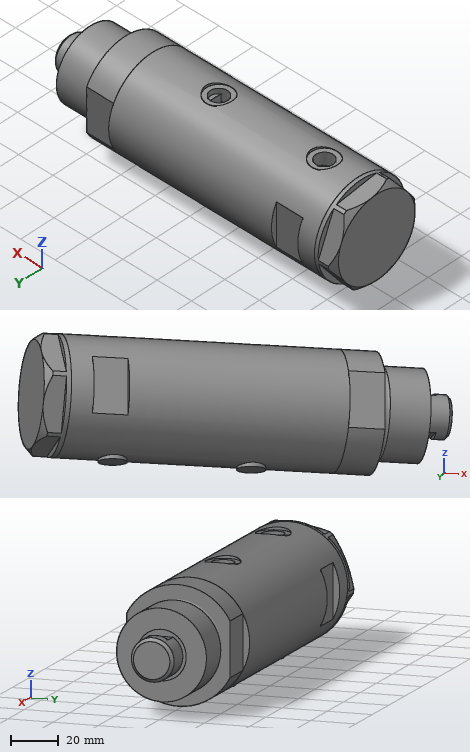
import cadquery as cq
import math


hex_length = 8.85
cap_flange_end = 11.0
gland_spigot_start = 94.5
housing_end = 130.75
shoulder_end = 146.45
neck_end = 149.5
nose_end = 167.0
rod_end = 179.02

outer_diameter = 52.0
bore_diameter = 36.0
counterbore_diameter = 44.0
rod_diameter = 22.0
outer_radius = outer_diameter / 2

y_axis = cq.Vector(0, 1, 0)
z_axis = cq.Vector(0, 0, 1)

flat_distance = 46.0
hex_rotation = -7.5
hex_corner_diameter = flat_distance / math.cos(math.pi / 6)
hex_chamfer = (outer_diameter - flat_distance) / 2
cap_spigot_end = 34.6

flat_start = 20.7
flat_length = 15.3
port_centers = (30.4, 91.75)
port_diameter = 9.8
spotface_diameter = 15.0
spotface_depth = 1.25
boss_centers = (34.95, 94.6)
boss_diameter = 12.25
boss_height = 1.1

nose_diameter = 40.0
neck_diameter = 38.0
neck_fillet = 0.8

tip_diameter = 19.0
tip_flat_distance = 16.0
tip_flat_length = 5.8
tip_chamfer = 1.4


def axial_cylinder(start, end, diameter):
    """Solid cylinder on the X axis between two positions."""
    return cq.Workplane("YZ").workplane(offset=start).circle(diameter / 2).extrude(end - start)


def cut_flats(body, start, length, distance, direction):
    """Cut a pair of parallel flats, a given distance apart, facing along +/- direction."""
    for side in (1, -1):
        offset = side * (distance + outer_diameter) / 2
        block = cq.Workplane("XY").box(length, outer_diameter, outer_diameter)
        body = body.cut(block.translate(direction * offset + cq.Vector(start + length / 2, 0, 0)))
    return body


def make_cap():
    """Chamfered hexagon head, round flange and a spigot filling the bore."""
    hexagon = cq.Workplane("YZ").polygon(6, hex_corner_diameter).extrude(hex_length)
    blank = axial_cylinder(0, hex_length, outer_diameter).faces("<X").chamfer(hex_chamfer)
    flange = axial_cylinder(hex_length, cap_flange_end, outer_diameter)
    spigot = axial_cylinder(cap_flange_end, cap_spigot_end, bore_diameter)
    cap = hexagon.intersect(blank).union(flange).union(spigot)
    return cap.rotate((0, 0, 0), (1, 0, 0), hex_rotation)


def make_housing():
    """Tube with two wrench flats, two ports on top and two round bosses below."""
    housing = axial_cylinder(cap_flange_end, housing_end, outer_diameter)
    housing = cut_flats(housing, flat_start, flat_length, flat_distance, y_axis)
    for center in boss_centers:
        boss = (
            cq.Workplane("XY")
            .workplane(offset=-outer_radius - boss_height)
            .center(center, 0)
            .circle(boss_diameter / 2)
            .extrude(outer_radius)
        )
        housing = housing.union(boss)
    housing = housing.cut(axial_cylinder(cap_flange_end, gland_spigot_start, bore_diameter))
    housing = housing.cut(axial_cylinder(gland_spigot_start, housing_end, counterbore_diameter))
    for center in port_centers:
        port_plane = cq.Workplane("XY").center(center, 0)
        port = port_plane.circle(port_diameter / 2).extrude(outer_radius)
        spotface = (
            port_plane.workplane(offset=outer_radius - spotface_depth)
            .circle(spotface_diameter / 2)
            .extrude(spotface_depth)
        )
        housing = housing.cut(port).cut(spotface)
    return housing


def make_gland():
    """Spigot in the counterbore, flatted shoulder, filleted neck and round nose, bored for the rod."""
    spigot = axial_cylinder(gland_spigot_start, housing_end, counterbore_diameter)
    shoulder = axial_cylinder(housing_end, shoulder_end, outer_diameter)
    shoulder = cut_flats(shoulder, housing_end, shoulder_end - housing_end, flat_distance, y_axis)
    neck_radius = neck_diameter / 2
    bend = neck_fillet * (1 - math.sqrt(0.5))
    neck = (
        cq.Workplane("XY")
        .moveTo(shoulder_end, 0)
        .lineTo(shoulder_end, neck_radius + neck_fillet)
        .threePointArc(
            (shoulder_end + bend, neck_radius + bend),
            (shoulder_end + neck_fillet, neck_radius),
        )
        .lineTo(neck_end - neck_fillet, neck_radius)
        .threePointArc(
            (neck_end - bend, neck_radius + bend),
            (neck_end, neck_radius + neck_fillet),
        )
        .lineTo(neck_end, 0)
        .close()
        .revolve(360, (0, 0, 0), (1, 0, 0))
    )
    nose = axial_cylinder(neck_end, nose_end, nose_diameter)
    rod_bore = axial_cylinder(gland_spigot_start, nose_end, rod_diameter)
    return spigot.union(shoulder).union(neck).union(nose).cut(rod_bore)


def make_rod():
    """Rod from the cap spigot to the nose face, with a flatted and chamfered tip."""
    shaft = axial_cylinder(cap_spigot_end, nose_end, rod_diameter)
    tip = axial_cylinder(nose_end, rod_end, tip_diameter).faces(">X").chamfer(tip_chamfer)
    tip = cut_flats(tip, nose_end, tip_flat_length, tip_flat_distance, z_axis)
    return shaft.union(tip)


cap = make_cap()
housing = make_housing()
gland = make_gland()
rod = make_rod()

result = cq.Compound.makeCompound([cap.val(), housing.val(), gland.val(), rod.val()])